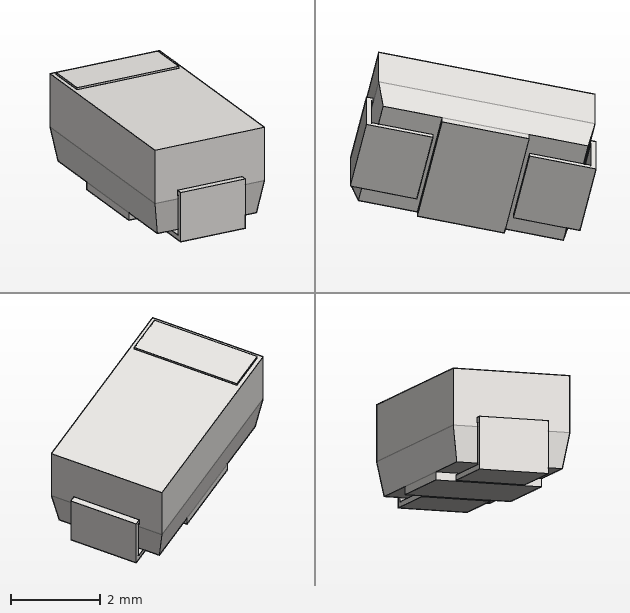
import cadquery as cq

overall_length = 5.28
overall_height = 2.34

housing_length = 4.975
housing_width = 2.79
housing_bottom_z = 0.185
parting_z = 0.99
marker_thickness = 0.05
housing_top_z = overall_height - marker_thickness
taper_inset = 0.13
foot_length = 2.0

marker_margin = 0.1
marker_length = 1.0

lead_width = 1.65
lead_thickness = 0.12
lead_height = 1.205
lead_foot_length = 1.53


def block(length, width, bottom_z, top_z):
    """Rectangular block centred on the Z axis between two heights."""
    return cq.Workplane("XY").workplane(offset=bottom_z).rect(length, width).extrude(top_z - bottom_z)


def make_housing():
    bottom_length = housing_length - 2 * taper_inset
    bottom_width = housing_width - 2 * taper_inset
    upper = block(housing_length, housing_width, parting_z, housing_top_z)
    lower = (
        cq.Workplane("XY")
        .workplane(offset=housing_bottom_z)
        .rect(bottom_length, bottom_width)
        .workplane(offset=parting_z - housing_bottom_z)
        .rect(housing_length, housing_width)
        .loft(ruled=True)
    )
    foot = block(foot_length, bottom_width, 0, housing_bottom_z)
    return upper.union(lower).union(foot)


def make_marker():
    marker_width = housing_width - 2 * marker_margin
    marker_center_x = -housing_length / 2 + marker_margin + marker_length / 2
    return block(marker_length, marker_width, housing_top_z, overall_height).translate((marker_center_x, 0, 0))


def make_lead(side):
    """Lead at the -X end (side = -1) or the +X end (side = 1)."""
    outer_x = side * overall_length / 2
    inner_x = outer_x - side * lead_thickness
    foot_end_x = outer_x - side * lead_foot_length
    tab_end_x = side * housing_length / 2
    tab_bottom_z = lead_height - lead_thickness
    profile = [
        (outer_x, 0),
        (outer_x, lead_height),
        (tab_end_x, lead_height),
        (tab_end_x, tab_bottom_z),
        (inner_x, tab_bottom_z),
        (inner_x, lead_thickness),
        (foot_end_x, lead_thickness),
        (foot_end_x, 0),
    ]
    return cq.Workplane("XZ").polyline(profile).close().extrude(lead_width / 2, both=True)


housing = make_housing()
marker = make_marker()
leads = [make_lead(side) for side in (-1, 1)]

result = cq.Compound.makeCompound([housing.val(), marker.val(), *[lead.val() for lead in leads]])